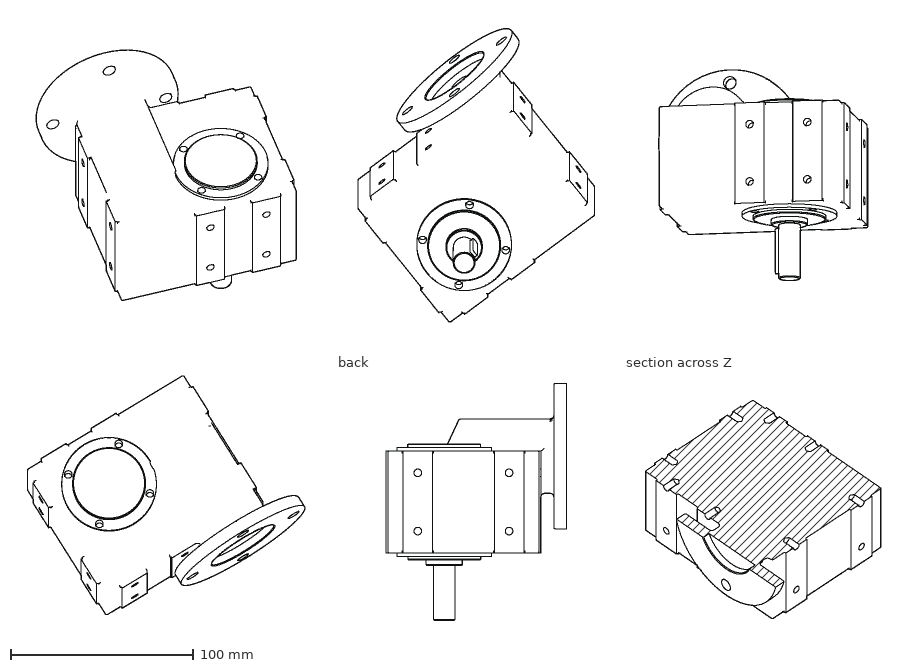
import cadquery as cq
import math


OVERALL_LENGTH = 99.0
OVERALL_HEIGHT = 130.0

SHAFT_DIA = 12.0
SHAFT_LENGTH = 30.0
COLLAR_DIA = 20.0
COLLAR_LENGTH = 3.0
SHAFT_CHAMFER = 0.5
KEY_WIDTH = 4.0
KEY_LENGTH = 25.2
KEY_START = 3.0
KEY_TOP = 7.7

COVER_DIA = 52.0
COVER_STEP_DIA = 40.0
COVER_STEP = 2.0
COVER_CHAMFER = 0.5
COVER_BOLT_CIRCLE = 46.0

PAD_LEFT = -53.0
PAD_RIGHT = 32.0
PAD_FRONT = -68.0
PAD_BACK = 35.0
HOUSING_HEIGHT = 56.0
PAD_RAISE = 1.0
PAD_WIDTH = 16.2
PAD_FOOT_FILLET = 0.5
PAD_PITCH_X = 50.0
PAD_PITCH_Y = 32.2
SHOULDER_BACK = -7.9
HOUSING_ROUND = 1.0

SCREW_HOLE_DIA = 4.2
SCREW_HOLE_DEPTH = 7.8
DRILL_POINT_ANGLE = 118.0
SCREW_PITCH = 32.0

FLANGE_DIA = 80.0
FLANGE_THICKNESS = 7.0
FLANGE_ROUND = 1.0
FLANGE_Y = -45.0
FLANGE_BOLT_CIRCLE = 65.0
FLANGE_HOLE_DIA = 6.9
NECK_DIA = 41.0
NECK_SLOPE_ANGLE = 25.0
NECK_FILLET = 2.0
SPIGOT_DIA = 40.0
SPIGOT_DEPTH = 4.5
SPIGOT_CHAMFER = 0.5
BORE_DIA = 10.0
BORE_DEPTH = 26.0

SMALL_GAP = 0.1

HOUSING_BOTTOM = SHAFT_LENGTH + COLLAR_LENGTH + 2 * COVER_STEP
HOUSING_TOP = HOUSING_BOTTOM + HOUSING_HEIGHT
HOUSING_MID = HOUSING_BOTTOM + HOUSING_HEIGHT / 2
WALL_LEFT = PAD_LEFT + PAD_RAISE
WALL_RIGHT = PAD_RIGHT - PAD_RAISE
WALL_FRONT = PAD_FRONT + PAD_RAISE
WALL_BACK = PAD_BACK - PAD_RAISE
MID_X = (PAD_LEFT + PAD_RIGHT) / 2
FLANGE_FACE = PAD_RIGHT - OVERALL_LENGTH
FLANGE_BACK = FLANGE_FACE + FLANGE_THICKNESS
FLANGE_Z = OVERALL_HEIGHT - FLANGE_DIA / 2
PAD_CENTRES_X = [MID_X - PAD_PITCH_X / 2, MID_X + PAD_PITCH_X / 2]
PAD_CENTRES_Y = [-PAD_PITCH_Y / 2, PAD_PITCH_Y / 2]
SCREW_ROWS_Z = [HOUSING_MID - SCREW_PITCH / 2, HOUSING_MID + SCREW_PITCH / 2]


def block(x_range, y_range, z_range):
    """Box between the given pairs of limits."""
    size = [end - start for start, end in (x_range, y_range, z_range)]
    corner = (x_range[0], y_range[0], z_range[0])
    return cq.Workplane("XY").box(*size, centered=False).translate(corner)


def cylinder(dia, start, direction, length):
    """Round bar from a start point along a direction."""
    bar = cq.Solid.makeCylinder(dia / 2, length, cq.Vector(*start), cq.Vector(*direction))
    return cq.Workplane(bar)


def screw_hole(start, direction):
    """Blind drilled hole with a conical bottom, as a cutting tool."""
    radius = SCREW_HOLE_DIA / 2
    point = radius / math.tan(math.radians(DRILL_POINT_ANGLE / 2))
    origin = cq.Vector(*start)
    axis = cq.Vector(*direction)
    tip_start = origin + axis * SCREW_HOLE_DEPTH
    tip = cq.Solid.makeCone(radius, 0, point, tip_start, axis)
    return cylinder(SCREW_HOLE_DIA, start, direction, SCREW_HOLE_DEPTH).union(cq.Workplane(tip))


def make_pad(along, wall, turn):
    """Full-height mounting pad with concave feet, standing on a wall that faces +Y before the turn about Z.

    The pad is centred at the given place along the wall, and wall is the distance of the wall from Z.
    """
    half = PAD_WIDTH / 2
    foot = half + PAD_FOOT_FILLET
    inner = wall - HOUSING_ROUND
    pad = (
        cq.Workplane("XY", origin=(along, 0, HOUSING_BOTTOM))
        .moveTo(-foot, inner)
        .lineTo(-foot, wall)
        .radiusArc((-half, wall + PAD_FOOT_FILLET), -PAD_FOOT_FILLET)
        .lineTo(-half, wall + PAD_RAISE)
        .lineTo(half, wall + PAD_RAISE)
        .lineTo(half, wall + PAD_FOOT_FILLET)
        .radiusArc((foot, wall), -PAD_FOOT_FILLET)
        .lineTo(foot, inner)
        .close()
        .extrude(HOUSING_HEIGHT)
    )
    return pad.rotate((0, 0, 0), (0, 0, 1), turn)


def make_housing():
    """Rounded block with a raised left front shoulder and full-height mounting pads."""
    heights = (HOUSING_BOTTOM, HOUSING_TOP)
    core = block((WALL_LEFT, WALL_RIGHT), (WALL_FRONT, WALL_BACK), heights)
    core = core.edges().fillet(HOUSING_ROUND)

    shoulder = (
        cq.Workplane("XY", origin=(0, 0, HOUSING_BOTTOM))
        .moveTo(MID_X, WALL_FRONT)
        .lineTo(PAD_LEFT, WALL_FRONT)
        .lineTo(PAD_LEFT, SHOULDER_BACK)
        .lineTo(WALL_LEFT - PAD_FOOT_FILLET, SHOULDER_BACK)
        .radiusArc((WALL_LEFT, SHOULDER_BACK + PAD_FOOT_FILLET), PAD_FOOT_FILLET)
        .lineTo(MID_X, SHOULDER_BACK + PAD_FOOT_FILLET)
        .close()
        .extrude(HOUSING_HEIGHT)
    )
    front_edges = "(<X and <Y) or (<Y and <Z) or (<Y and >Z)"
    shoulder = shoulder.edges(front_edges + " or (<X and <Z)").fillet(HOUSING_ROUND)

    housing = core.union(shoulder)
    for x in PAD_CENTRES_X:
        housing = housing.union(make_pad(x, WALL_BACK, 0))
        housing = housing.union(make_pad(-x, -WALL_FRONT, 180))
    for y in PAD_CENTRES_Y:
        housing = housing.union(make_pad(-y, WALL_RIGHT, -90))
    return housing.union(make_pad(PAD_CENTRES_Y[1], -WALL_LEFT, 90))


def make_neck():
    """Round neck behind the flange, with a sloped and rounded far end inside the housing."""
    slope = math.tan(math.radians(NECK_SLOPE_ANGLE))
    radius = NECK_DIA / 2
    top = FLANGE_Z + radius
    bottom = FLANGE_Z - radius
    top_end = (HOUSING_TOP - top) * slope
    bottom_end = (HOUSING_TOP - bottom) * slope
    envelope = (
        cq.Workplane("XZ", origin=(0, FLANGE_Y, 0))
        .polyline([(FLANGE_BACK, bottom), (bottom_end, bottom), (top_end, top), (FLANGE_BACK, top)])
        .close()
        .extrude(radius, both=True)
    )
    bar = cylinder(NECK_DIA, (FLANGE_BACK, FLANGE_Y, FLANGE_Z), (1, 0, 0), bottom_end - FLANGE_BACK)
    return bar.intersect(envelope).faces(">X").edges().fillet(NECK_FILLET)


def make_neck_blend():
    """Part of the neck standing clear of the housing, with the fillet that flares it into the block."""
    radius = NECK_DIA / 2
    wide_block = block(
        (PAD_LEFT, PAD_RIGHT), (WALL_FRONT - NECK_DIA, WALL_BACK), (HOUSING_BOTTOM, HOUSING_TOP)
    )
    seam_edges = cq.selectors.BoxSelector(
        (PAD_LEFT - SMALL_GAP, FLANGE_Y - radius, FLANGE_Z - radius),
        (SMALL_GAP, FLANGE_Y + radius, HOUSING_TOP + SMALL_GAP),
    )
    flared = wide_block.union(make_neck()).edges(seam_edges).fillet(NECK_FILLET)
    heights = (HOUSING_BOTTOM, OVERALL_HEIGHT)
    over_housing = block((FLANGE_BACK, PAD_RIGHT), (WALL_FRONT + HOUSING_ROUND, WALL_BACK), heights)
    pad_start = PAD_CENTRES_X[0] - PAD_WIDTH / 2
    over_pad = block((pad_start, pad_start + PAD_WIDTH), (PAD_FRONT, WALL_BACK), heights)
    return flared.cut(wide_block).intersect(over_housing.union(over_pad))


def make_flange():
    """Motor flange disc with a rounded back rim and a fillet at the root of the neck."""
    rim = FLANGE_DIA / 2
    neck = NECK_DIA / 2
    return (
        cq.Workplane("XY", origin=(0, FLANGE_Y, FLANGE_Z))
        .moveTo(FLANGE_FACE, 0)
        .lineTo(FLANGE_FACE, rim)
        .lineTo(FLANGE_BACK - FLANGE_ROUND, rim)
        .radiusArc((FLANGE_BACK, rim - FLANGE_ROUND), FLANGE_ROUND)
        .lineTo(FLANGE_BACK, neck + NECK_FILLET)
        .radiusArc((FLANGE_BACK + NECK_FILLET, neck), -NECK_FILLET)
        .lineTo(FLANGE_BACK + NECK_FILLET, 0)
        .close()
        .revolve(360, (0, 0, 0), (1, 0, 0))
    )


def flange_cuts():
    """Spigot recess, motor shaft bore and the four bolt holes."""
    face = (FLANGE_FACE, FLANGE_Y, FLANGE_Z)
    recess = cylinder(SPIGOT_DIA, face, (1, 0, 0), SPIGOT_DEPTH)
    mouth = cq.Solid.makeCone(
        SPIGOT_DIA / 2 + SPIGOT_CHAMFER, SPIGOT_DIA / 2, SPIGOT_CHAMFER, cq.Vector(*face), cq.Vector(1, 0, 0)
    )
    cuts = recess.union(cq.Workplane(mouth))
    cuts = cuts.union(cylinder(BORE_DIA, face, (1, 0, 0), SPIGOT_DEPTH + BORE_DEPTH))
    for quarter in range(4):
        angle = quarter * math.pi / 2
        y = FLANGE_Y + FLANGE_BOLT_CIRCLE / 2 * math.cos(angle)
        z = FLANGE_Z + FLANGE_BOLT_CIRCLE / 2 * math.sin(angle)
        cuts = cuts.union(cylinder(FLANGE_HOLE_DIA, (FLANGE_FACE, y, z), (1, 0, 0), FLANGE_THICKNESS))
    return cuts


def make_cover(height, direction):
    """Two-step round bearing cover standing on the housing face at the given height."""
    rim = cylinder(COVER_DIA, (0, 0, height), (0, 0, direction), COVER_STEP)
    cap = cylinder(COVER_STEP_DIA, (0, 0, height), (0, 0, direction), 2 * COVER_STEP)
    cap = cap.faces(">Z" if direction > 0 else "<Z").edges().chamfer(COVER_CHAMFER)
    return rim.union(cap)


def make_shaft():
    """Output shaft with its collar and a round-ended key on the front side."""
    collar = cylinder(COLLAR_DIA, (0, 0, SHAFT_LENGTH), (0, 0, 1), COLLAR_LENGTH + COVER_STEP)
    shaft = cylinder(SHAFT_DIA, (0, 0, 0), (0, 0, 1), SHAFT_LENGTH + COLLAR_LENGTH)
    collar = collar.faces("<Z").edges().chamfer(SHAFT_CHAMFER)
    shaft = shaft.faces("<Z").edges().chamfer(SHAFT_CHAMFER)
    key = (
        cq.Workplane("XZ")
        .center(0, KEY_START + KEY_LENGTH / 2)
        .slot2D(KEY_LENGTH, KEY_WIDTH, 90)
        .extrude(KEY_TOP)
    )
    return collar.union(shaft).union(key)


def cover_screw_holes():
    """Four holes around each bearing cover."""
    cuts = cq.Workplane("XY")
    offset = COVER_BOLT_CIRCLE / 2 * math.sin(math.pi / 4)
    for x in (-offset, offset):
        for y in (-offset, offset):
            cuts = cuts.add(screw_hole((x, y, HOUSING_TOP + COVER_STEP), (0, 0, -1)))
            cuts = cuts.add(screw_hole((x, y, HOUSING_BOTTOM - COVER_STEP), (0, 0, 1)))
    return cuts.combine()


def pad_screw_holes():
    """Two rows of holes in the pads on all four sides."""
    cuts = cq.Workplane("XY")
    for z in SCREW_ROWS_Z:
        for x in PAD_CENTRES_X:
            cuts = cuts.add(screw_hole((x, PAD_FRONT, z), (0, 1, 0)))
            cuts = cuts.add(screw_hole((x, PAD_BACK, z), (0, -1, 0)))
        for y in PAD_CENTRES_Y:
            cuts = cuts.add(screw_hole((PAD_LEFT, y, z), (1, 0, 0)))
            cuts = cuts.add(screw_hole((PAD_RIGHT, y, z), (-1, 0, 0)))
    return cuts.combine()


body = make_housing().union(make_neck_blend()).union(make_flange())
body = body.union(make_cover(HOUSING_TOP, 1)).union(make_cover(HOUSING_BOTTOM, -1)).union(make_shaft())
cuts = flange_cuts().union(cover_screw_holes()).union(pad_screw_holes())
result = body.cut(cuts).solids()